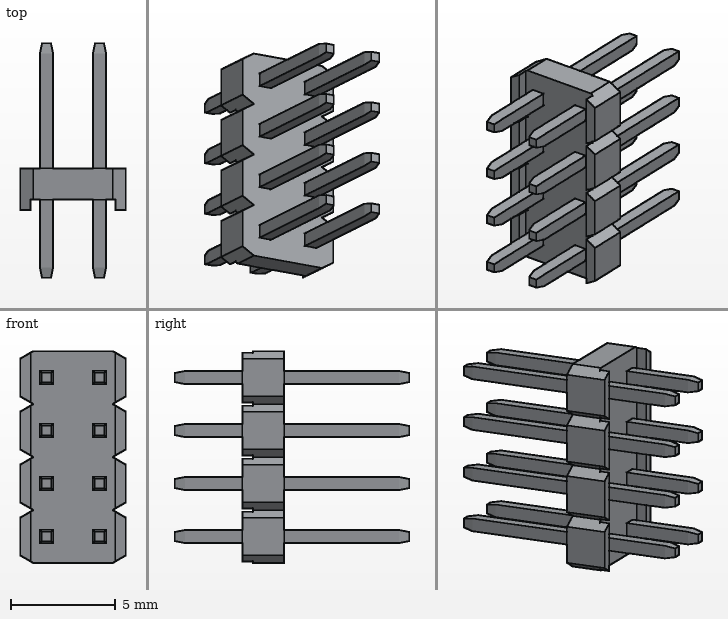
import cadquery as cq
import math

pitch = 2.54
columns = 2
rows = 4

pin_length = 11.25
pin_width = 0.64
tip_width = 0.44
tip_length = 0.5
pin_front = -pin_length / 2

housing_width = columns * pitch
housing_height = rows * pitch
housing_depth = 2.0
front_pin_exposure = 3.25
housing_front = pin_front + front_pin_exposure
housing_back = housing_front + housing_depth
lip_width = 0.51
recess_depth = 0.5
notch_depth = 0.635
notch_angle = 30
notch_half_height = notch_depth * math.tan(math.radians(notch_angle))


def centred_positions(count):
    """Positions at the pitch, centred on zero."""
    return [(i - (count - 1) / 2) * pitch for i in range(count)]


pin_centres = [(x, z) for x in centred_positions(columns) for z in centred_positions(rows)]


def box_along_y(width, height, y_start, y_end):
    """Box centred on the Y axis between two Y positions."""
    depth = y_end - y_start
    return cq.Workplane("XY").box(width, depth, height).translate((0, y_start + depth / 2, 0))


def make_notch_cutter(x_side, z):
    """V-shaped prism that notches one side of the housing at height z."""
    edge = x_side * housing_width / 2
    apex = edge - x_side * notch_depth
    return (
        cq.Workplane("XZ", origin=(0, housing_back, 0))
        .moveTo(edge, z - notch_half_height)
        .lineTo(apex, z)
        .lineTo(edge, z + notch_half_height)
        .close()
        .extrude(housing_depth)
    )


def make_housing():
    """Block with a full-height front recess, notched sides and square pin holes."""
    body = box_along_y(housing_width, housing_height, housing_front, housing_back)
    recess_width = housing_width - 2 * lip_width
    body = body.cut(
        box_along_y(recess_width, housing_height, housing_front, housing_front + recess_depth)
    )
    for x_side in (-1, 1):
        for z in centred_positions(rows + 1):
            body = body.cut(make_notch_cutter(x_side, z))
    hole = box_along_y(pin_width, pin_width, housing_front, housing_back)
    for x, z in pin_centres:
        body = body.cut(hole.translate((x, 0, z)))
    return body


def make_tip(direction):
    """Tapered pin end that narrows along Y in the given direction."""
    shank_end = direction * (pin_length / 2 - tip_length)
    base = cq.Plane(origin=(0, shank_end, 0), xDir=(1, 0, 0), normal=(0, direction, 0))
    return (
        cq.Workplane(base)
        .rect(pin_width, pin_width)
        .workplane(offset=tip_length)
        .rect(tip_width, tip_width)
        .loft(ruled=True)
    )


def make_pin(x, z):
    """Square pin with a tapered tip at each end."""
    shank_half_length = pin_length / 2 - tip_length
    shank = box_along_y(pin_width, pin_width, -shank_half_length, shank_half_length)
    return shank.union(make_tip(1)).union(make_tip(-1)).translate((x, 0, z))


housing = make_housing()
pins = [make_pin(x, z) for x, z in pin_centres]

result = cq.Compound.makeCompound([housing.solids().val(), *[pin.solids().val() for pin in pins]])